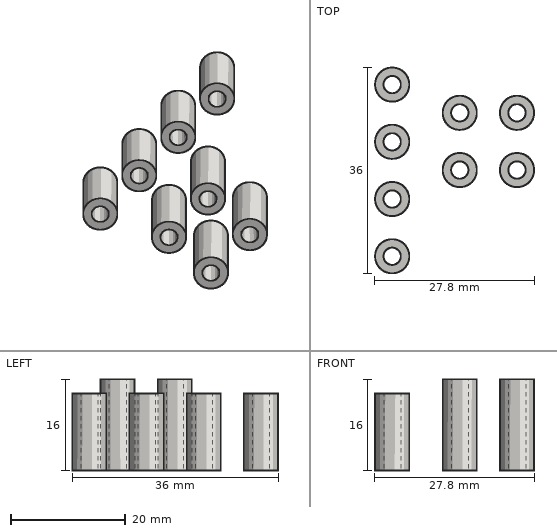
import cadquery as cq

overall_depth = 36.0
outer_diameter = 6.0
bore_diameter = 3.0
short_height = 13.5
tall_height = 16.0
short_count = 4
tall_columns = 2
tall_rows = 2
group_spacing = 11.8
tall_row_offset = 4.95

pitch = (overall_depth - outer_diameter) / (short_count - 1)
rear_y = (short_count - 1) * pitch / 2
short_x = 0.0
first_tall_x = short_x + group_spacing
rear_tall_y = rear_y - tall_row_offset


def spacer(x, y, height):
    """Upright tube standing on Z = 0, with a bore right through it."""
    return (
        cq.Workplane("XY")
        .center(x, y)
        .circle(outer_diameter / 2)
        .circle(bore_diameter / 2)
        .extrude(height)
    )


def short_spacer(index):
    """One spacer of the single row, counted from the rear."""
    return spacer(short_x, rear_y - index * pitch, short_height)


def tall_spacer(column, row):
    """One spacer of the tall grid, rows counted from the rear."""
    return spacer(first_tall_x + column * pitch, rear_tall_y - row * pitch, tall_height)


short_spacers = [short_spacer(index).val() for index in range(short_count)]

tall_spacers = [
    tall_spacer(column, row).val()
    for column in range(tall_columns)
    for row in range(tall_rows)
]

result = cq.Compound.makeCompound([*short_spacers, *tall_spacers])